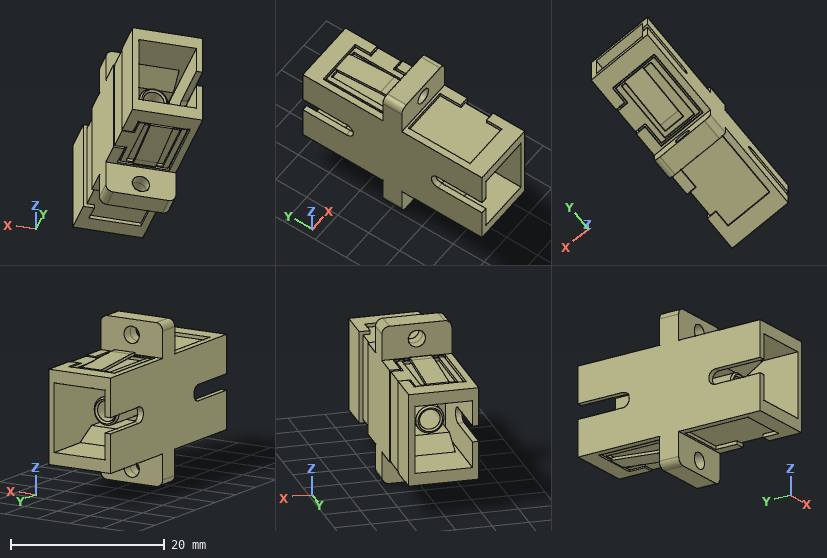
import cadquery as cq


body_width = 9.53
body_length = 28.95
body_height = 12.83
cavity_width = 7.8
cavity_height = 9.35
side_wall = (body_width - cavity_width) / 2

flange_thickness = 3.07
flange_height = 22.05
flange_rise = 0.1
flange_corner_radius = 1.0
flange_hole_diameter = 2.32
flange_hole_spacing = 17.98

slot_width = 2.17
slot_depth = 8.17

tube_radius = 1.9
tube_bore_radius = 1.4
tube_tip_y = 8.0
tube_chamfer = 0.25
web_half = flange_thickness / 2

hook_width = 5.88
hook_outer_z = 4.2
hook_inner_z = 2.5
ramp_start_y = 9.6
ramp_end_y = 6.72

recess_depth = 0.5
recess_x_min = -3.76
recess_x_max = 3.27
recess_y_min = 1.88
recess_y_max = 11.85
notch_y_min = 5.2
notch_y_max = 9.35

clip_thickness = 0.4
clip_gap = 0.25
window_x_min = -2.75
window_x_max = 2.23
window_y_min = 2.4
window_y_max = 11.3

tongue_width = 3.07
tongue_root_rise = 0.072
tongue_tip_rise = 0.72
tongue_bend_y = 4.23
tongue_tip_y = 3.2


def box(x_min, x_max, y_min, y_max, z_min, z_max):
    """Box given by its limits along each axis."""
    return cq.Workplane("XY").box(
        x_max - x_min, y_max - y_min, z_max - z_min, centered=False
    ).translate((x_min, y_min, z_min))


def with_mirror(shape, plane):
    """The shape together with its mirror image."""
    return shape.union(shape.mirror(plane))


def extrude_across(points, width):
    """Extrude a closed YZ outline along X, centred on X = 0."""
    return cq.Workplane("YZ").polyline(points).close().extrude(width / 2, both=True)


def make_flange():
    return (
        cq.Workplane("XY")
        .box(body_width, flange_thickness, flange_height)
        .edges("|Y")
        .fillet(flange_corner_radius)
        .translate((0, 0, flange_rise))
    )


def make_flange_holes():
    return (
        cq.Workplane("XZ")
        .rarray(0.3, flange_hole_spacing, 1, 2)
        .circle(flange_hole_diameter / 2)
        .extrude(flange_thickness, both=True)
    )


def make_cavity():
    """Open space at the +Y end, from the web outwards."""
    half_width = cavity_width / 2
    half_height = cavity_height / 2
    return box(-half_width, half_width, web_half, body_length / 2, -half_height, half_height)


def make_key_slot():
    """Round-ended slot through the -X wall at the +Y end."""
    half_slot = slot_width / 2
    tip_y = body_length / 2 - slot_depth
    arc_y = tip_y + half_slot
    return (
        cq.Workplane("YZ", origin=(-body_width / 2, 0, 0))
        .moveTo(body_length / 2, -half_slot)
        .lineTo(arc_y, -half_slot)
        .threePointArc((tip_y, 0), (arc_y, half_slot))
        .lineTo(body_length / 2, half_slot)
        .close()
        .extrude(side_wall)
    )


def make_ferrule_tube():
    """Tube on the +Y side, chamfered outside and inside at its mouth."""
    rim_radius = tube_radius - tube_chamfer
    chamfer_y = tube_tip_y - tube_chamfer
    return (
        cq.Workplane("XY")
        .polyline([
            (0, 0),
            (tube_radius, 0),
            (tube_radius, chamfer_y),
            (rim_radius, tube_tip_y),
            (tube_bore_radius, chamfer_y),
            (tube_bore_radius, web_half),
            (0, web_half),
        ])
        .close()
        .revolve(360, (0, 0), (0, 1))
    )


def make_hooks():
    """Upper and lower latch hooks on the +Y side of the web."""
    upper_hook = extrude_across(
        [
            (0, hook_inner_z),
            (ramp_end_y, hook_inner_z),
            (ramp_start_y, hook_outer_z),
            (0, hook_outer_z),
        ],
        hook_width,
    )
    return with_mirror(upper_hook, "XY")


def make_clip_volume(clearance, bottom, top):
    """C-shaped layer between two depths under the top, +X and bottom faces."""
    x_min = recess_x_min + clearance
    x_max = recess_x_max - clearance
    y_min = recess_y_min + clearance
    y_max = recess_y_max - clearance
    arm_y_min = notch_y_min + clearance
    arm_y_max = notch_y_max - clearance
    half_height = body_height / 2
    side_x = body_width / 2

    plate = box(x_min, x_max, y_min, y_max, half_height - bottom, half_height - top)
    arm = box(x_min, side_x - top, arm_y_min, arm_y_max, half_height - bottom, half_height - top)
    plates = with_mirror(plate.union(arm), "XY")
    back = box(
        side_x - bottom, side_x - top, arm_y_min, arm_y_max, top - half_height, half_height - top
    )
    return plates.union(back)


def make_clip():
    """Clip with a window in its top and bottom plates and a tongue in each window."""
    half_height = body_height / 2
    window = box(
        window_x_min, window_x_max, window_y_min, window_y_max, half_height - recess_depth, half_height
    )
    root_y = recess_y_max - clip_gap
    root_z = half_height + tongue_root_rise
    tip_z = half_height + tongue_tip_rise
    tongue = extrude_across(
        [
            (root_y, root_z),
            (tongue_bend_y, tip_z),
            (tongue_tip_y, tip_z),
            (tongue_tip_y, tip_z - clip_thickness),
            (tongue_bend_y, tip_z - clip_thickness),
            (root_y, root_z - clip_thickness),
        ],
        tongue_width,
    )
    clip = make_clip_volume(clip_gap, recess_depth, recess_depth - clip_thickness)
    return clip.cut(with_mirror(window, "XY")).union(with_mirror(tongue, "XY"))


end_cuts = make_cavity().union(make_key_slot()).union(make_clip_volume(0, recess_depth, 0))
end_inserts = make_ferrule_tube().union(make_hooks())

result = (
    cq.Workplane("XY")
    .box(body_width, body_length, body_height)
    .union(make_flange())
    .cut(make_flange_holes())
    .cut(with_mirror(end_cuts, "XZ"))
    .union(with_mirror(end_inserts, "XZ"))
    .union(make_clip())
)